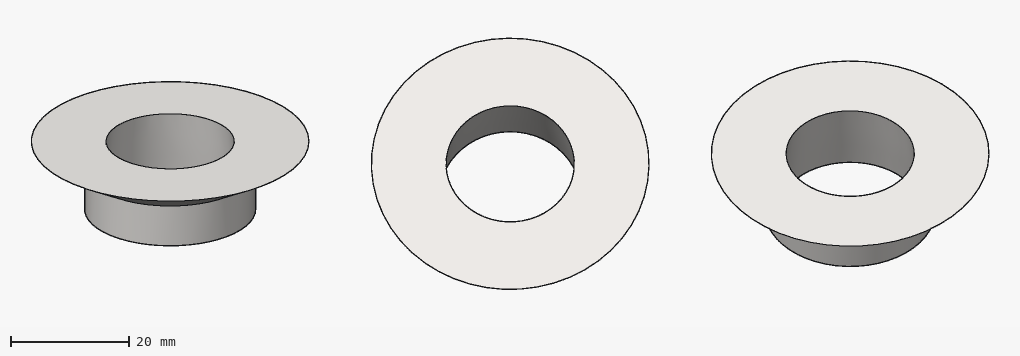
import cadquery as cq

flange_diameter = 47.0
total_height = 12.7

collar_diameter = 29.0
collar_height = 7.45

bore_top_diameter = 21.65
bore_bottom_diameter = 23.85

flange_radius = flange_diameter / 2
collar_radius = collar_diameter / 2
bore_top_radius = bore_top_diameter / 2
bore_bottom_radius = bore_bottom_diameter / 2

half_section = (
    cq.Workplane("XZ")
    .moveTo(bore_bottom_radius, 0)
    .lineTo(collar_radius, 0)
    .lineTo(collar_radius, collar_height)
    .lineTo(flange_radius, total_height)
    .lineTo(bore_top_radius, total_height)
    .close()
)

result = half_section.revolve(360, (0, 0, 0), (0, 1, 0))